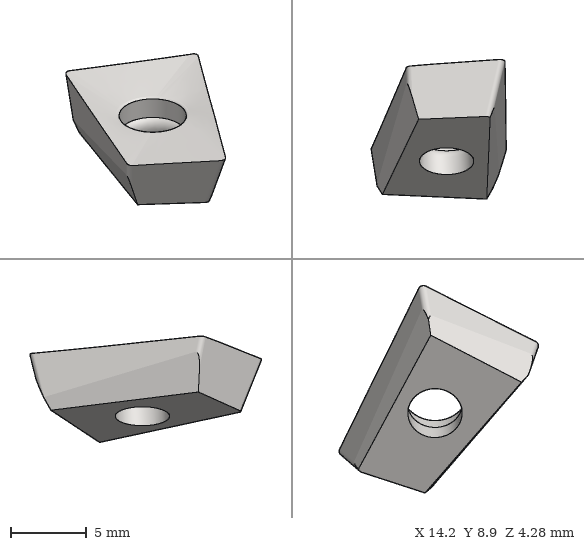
import cadquery as cq
import math

BLANK_SIZE = 42.72
TRIM_SIZE = 3 * BLANK_SIZE
BLANK_HEIGHT = 4.55
NOSE_RADIUS = 0.4

HOLE_X = 6.62
HOLE_Y = 3.85
RIM_RADIUS = 2.44
RIM_HEIGHT = 3.56
BORE_RADIUS = 2.22
THROUGH_RADIUS = 1.8
MOUTH_DEPTH = 0.1
SEAT_TOP = 2.05
SEAT_BOTTOM = 1.35

OVERHANG = 1.3
CUTTER_TOP = 6.41

FRONT_LEFT = (0.5, 0.0, 3.97)
LEFT_FRONT = (0.01, 0.45, 4.0)
LEFT_BACK = (1.07, 8.5, 4.25)
BACK_LEFT = (1.65, 8.87, 4.26)
BACK_SPLIT = (8.86, 7.38, 3.97)
BACK_RIGHT = (13.9, 6.34, 3.75)
RIGHT_BACK = (14.21, 5.8, 3.73)
RIGHT_SPLIT = (12.95, 1.57, 3.6)
RIGHT_FRONT = (12.56, 0.25, 3.55)
FRONT_RIGHT = (12.02, 0.0, 3.57)

BASE_FRONT_LEFT = (1.41, 0.55, 0.0)
BASE_FRONT_RIGHT = (11.76, 0.93, 0.0)
BASE_BACK_LEFT = (2.15, 7.45, 0.0)
FRONT_BREAK = (1.07, 0.25, 0.85)
LEFT_BREAK = (0.34, 0.55, 2.49)
BACK_BREAK_LEFT = (1.85, 8.36, 2.28)
BACK_BREAK_RIGHT = (13.1, 5.81, 0.85)

TOP_LINES = [
    (RIGHT_SPLIT, -8.0),
    (RIGHT_BACK, 30.7),
    (BACK_RIGHT, 37.2),
    (BACK_SPLIT, 82.4),
    (BACK_LEFT, 148.4),
    (LEFT_BACK, 153.0),
    (LEFT_FRONT, 225.0),
    (FRONT_LEFT, 231.7),
    (FRONT_RIGHT, 334.8),
    (RIGHT_FRONT, 339.1),
]


def trim_flank(body, start, end, third):
    """Keep the hole side of the plane through three points."""
    origin = cq.Vector(*start)
    along = cq.Vector(*end) - origin
    normal = along.cross(cq.Vector(*third) - origin)
    hole_middle = cq.Vector(HOLE_X, HOLE_Y, 0)
    if normal.dot(hole_middle - origin) > 0:
        normal = -normal
    plane = cq.Plane(origin=origin, xDir=along, normal=normal)
    waste = cq.Workplane(plane).rect(TRIM_SIZE, TRIM_SIZE).extrude(TRIM_SIZE)
    return body.cut(waste)


def make_body():
    body = cq.Workplane("XY").rect(BLANK_SIZE, BLANK_SIZE).extrude(BLANK_HEIGHT)
    body = trim_flank(body, FRONT_LEFT, FRONT_RIGHT, FRONT_BREAK)
    body = trim_flank(body, LEFT_FRONT, LEFT_BACK, LEFT_BREAK)
    body = trim_flank(body, BACK_LEFT, BACK_RIGHT, BACK_BREAK_LEFT)
    body = trim_flank(body, RIGHT_FRONT, RIGHT_BACK, BASE_FRONT_RIGHT)
    body = body.edges("not #Z").fillet(NOSE_RADIUS)
    body = trim_flank(body, BASE_FRONT_LEFT, BASE_FRONT_RIGHT, FRONT_BREAK)
    body = trim_flank(body, BASE_FRONT_LEFT, BASE_BACK_LEFT, LEFT_BREAK)
    return trim_flank(body, BASE_BACK_LEFT, BACK_BREAK_RIGHT, BACK_BREAK_LEFT)


def rim_point(angle):
    """Point on the hole rim at an angle in degrees."""
    turn = math.radians(angle)
    return cq.Vector(
        HOLE_X + RIM_RADIUS * math.cos(turn),
        HOLE_Y + RIM_RADIUS * math.sin(turn),
        RIM_HEIGHT,
    )


def overhang_point(edge_point, angle):
    """Edge point pushed outward along its line from the rim."""
    inner = rim_point(angle)
    return inner + (cq.Vector(*edge_point) - inner) * OVERHANG


def polygon_face(points):
    return cq.Face.makeFromWires(cq.Wire.makePolygon(points, close=True))


def make_top_cutter():
    """Space above the dished top: ruled panels from the outline to the rim."""
    faces = []
    rim_arcs = []
    lid_points = []
    for i, (edge_point, angle) in enumerate(TOP_LINES):
        next_point, next_angle = TOP_LINES[(i + 1) % len(TOP_LINES)]
        if next_angle < angle:
            next_angle += 360
        outer = overhang_point(edge_point, angle)
        next_outer = overhang_point(next_point, next_angle)
        lid = cq.Vector(outer.x, outer.y, CUTTER_TOP)
        next_lid = cq.Vector(next_outer.x, next_outer.y, CUTTER_TOP)
        middle = rim_point((angle + next_angle) / 2)
        arc = cq.Edge.makeThreePointArc(rim_point(angle), middle, rim_point(next_angle))
        line = cq.Edge.makeLine(outer, next_outer)
        faces.append(cq.Face.makeRuledSurface(line, arc))
        faces.append(polygon_face([outer, next_outer, next_lid, lid]))
        rim_arcs.append(arc)
        lid_points.append(lid)
    faces.append(cq.Face.makeFromWires(cq.Wire.assembleEdges(rim_arcs)))
    faces.append(polygon_face(lid_points))
    return cq.Workplane(cq.Solid.makeSolid(cq.Shell.makeShell(faces)).fix())


def make_hole():
    """Through hole with a rounded seat, a wider bore and a rounded mouth."""
    mouth_width = RIM_RADIUS - BORE_RADIUS
    mouth_bottom = RIM_HEIGHT - MOUTH_DEPTH
    mouth_round = (mouth_width**2 + MOUTH_DEPTH**2) / (2 * MOUTH_DEPTH)
    seat_width = BORE_RADIUS - THROUGH_RADIUS
    seat_drop = SEAT_TOP - SEAT_BOTTOM
    seat_round = (seat_width**2 + seat_drop**2) / (2 * seat_width)
    seat_half_turn = math.atan2(seat_width, seat_drop)
    seat_middle = (
        THROUGH_RADIUS + seat_round * (1 - math.cos(seat_half_turn)),
        SEAT_BOTTOM + seat_round * math.sin(seat_half_turn),
    )
    mouth_half_turn = math.atan2(MOUTH_DEPTH, mouth_width)
    mouth_middle = (
        RIM_RADIUS - mouth_round * math.sin(mouth_half_turn),
        RIM_HEIGHT - mouth_round * (1 - math.cos(mouth_half_turn)),
    )
    profile = (
        cq.Workplane("XZ")
        .lineTo(THROUGH_RADIUS, 0)
        .lineTo(THROUGH_RADIUS, SEAT_BOTTOM)
        .threePointArc(seat_middle, (BORE_RADIUS, SEAT_TOP))
        .lineTo(BORE_RADIUS, mouth_bottom)
        .threePointArc(mouth_middle, (RIM_RADIUS, RIM_HEIGHT))
        .lineTo(0, RIM_HEIGHT)
        .close()
    )
    return profile.revolve(360, (0, 0), (0, 1)).translate((HOLE_X, HOLE_Y, 0))


result = make_body().cut(make_top_cutter()).cut(make_hole())